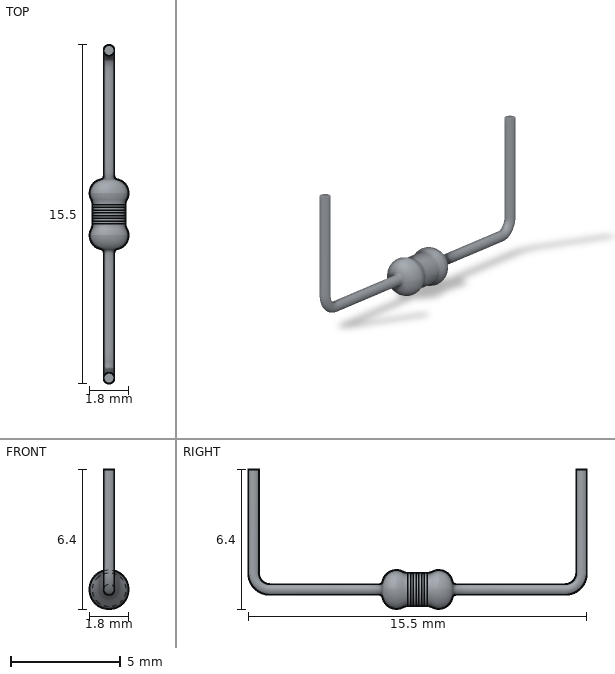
import cadquery as cq
import math


LEAD_DIAMETER = 0.5
LEAD_PITCH = 15.0
LEAD_HEIGHT = 5.5
BEND_RADIUS = 0.75

CAP_RADIUS = 1.8 / 2
BARREL_RADIUS = 1.53 / 2
BODY_LENGTH = 3.5
CREST_Y = 0.96
SHOULDER_Y = 0.703
LEAD_FILLET = 0.15

BAND_RADIUS = 1.55 / 2
BAND_COUNT = 4
BAND_WIDTH = 0.125
BAND_PITCH = 2 * BAND_WIDTH

BARREL_END_Y = ((BAND_COUNT - 1) * BAND_PITCH + BAND_WIDTH) / 2

LEAD_RADIUS = LEAD_DIAMETER / 2


def polar(center, radius, angle):
    """Point on a circle, with the angle in radians from the first axis."""
    return (center[0] + radius * math.cos(angle), center[1] + radius * math.sin(angle))


def make_lead():
    """One wire swept through the body axis, with both ends bent up toward +Z."""
    half_pitch = LEAD_PITCH / 2
    straight_end = half_pitch - BEND_RADIUS
    diagonal = -math.pi / 4
    right_mid = polar((straight_end, BEND_RADIUS), BEND_RADIUS, diagonal)
    path = (
        cq.Workplane("YZ")
        .moveTo(-half_pitch, LEAD_HEIGHT)
        .lineTo(-half_pitch, BEND_RADIUS)
        .threePointArc((-right_mid[0], right_mid[1]), (-straight_end, 0))
        .lineTo(straight_end, 0)
        .threePointArc(right_mid, (half_pitch, BEND_RADIUS))
        .lineTo(half_pitch, LEAD_HEIGHT)
    )
    section = cq.Workplane("XY", origin=(0, -half_pitch, LEAD_HEIGHT)).circle(LEAD_RADIUS)
    return section.sweep(path)


def make_cap():
    """Revolve the +Y end cap and its neck from a tangent-arc profile of (radius, y) points."""
    half_turn = math.atan((CAP_RADIUS - BARREL_RADIUS) / (CREST_Y - BARREL_END_Y))
    turn = 2 * half_turn
    shoulder_round = (CREST_Y - SHOULDER_Y) / math.sin(turn)
    neck_round = (SHOULDER_Y - BARREL_END_Y) / math.sin(turn)
    shoulder_center = (CAP_RADIUS - shoulder_round, CREST_Y)
    neck_center = (BARREL_RADIUS + neck_round, BARREL_END_Y)

    end_length = BODY_LENGTH / 2 - CREST_Y
    end_depth = CAP_RADIUS - LEAD_RADIUS
    center_distance = (end_length**2 + end_depth**2) / (2 * end_depth)
    outer_round = center_distance - LEAD_FILLET
    outer_center = (CAP_RADIUS - outer_round, CREST_Y)
    contact_angle = math.asin(end_length / center_distance)
    fillet_center = (LEAD_RADIUS + LEAD_FILLET, BODY_LENGTH / 2)
    fillet_mid_angle = math.pi + contact_angle / 2

    profile = (
        cq.Workplane("XY")
        .moveTo(0, BARREL_END_Y)
        .lineTo(BARREL_RADIUS, BARREL_END_Y)
        .threePointArc(
            polar(neck_center, neck_round, math.pi - half_turn),
            polar(neck_center, neck_round, math.pi - turn),
        )
        .threePointArc(polar(shoulder_center, shoulder_round, -half_turn), (CAP_RADIUS, CREST_Y))
        .threePointArc(
            polar(outer_center, outer_round, contact_angle / 2),
            polar(outer_center, outer_round, contact_angle),
        )
        .threePointArc(
            polar(fillet_center, LEAD_FILLET, fillet_mid_angle),
            (LEAD_RADIUS, fillet_center[1]),
        )
        .lineTo(0, fillet_center[1])
        .close()
    )
    return profile.revolve(360, (0, 0), (0, 1))


def make_disc(radius, start_y, length):
    """Cylinder on the body axis, running from start_y toward +Y."""
    return cq.Workplane("XZ", origin=(0, start_y, 0)).circle(radius).extrude(-length)


cap = make_cap()
barrel = make_disc(BARREL_RADIUS, -BARREL_END_Y, 2 * BARREL_END_Y)
result = barrel.union(cap).union(cap.mirror("XZ")).union(make_lead())
for index in range(BAND_COUNT):
    band_start = -BARREL_END_Y + index * BAND_PITCH
    result = result.union(make_disc(BAND_RADIUS, band_start, BAND_WIDTH))